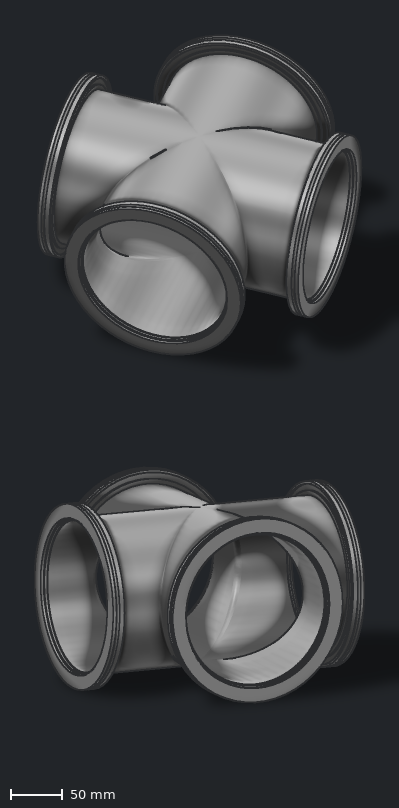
import cadquery as cq

overall_length = 266.5
port_end = overall_length / 2
port_count = 4
port_angles = [i * 360 / port_count for i in range(port_count)]

pipe_outer_diameter = 153.0
pipe_bore = 147.0
pipe_inset = 6.0
wall = (pipe_outer_diameter - pipe_bore) / 2
outer_seam_radius = 2.5
bore_seam_radius = outer_seam_radius + wall

flange_diameter = 180.2
flange_thickness = 12.0
flange_bore = 149.0
recess_diameter = 152.5
recess_depth = 3.2

rim_groove_start = 3.7
rim_groove_width = 3.2
rim_groove_depth = rim_groove_width / 2

relief_inner_diameter = 162.4
relief_outer_diameter = 175.0
relief_depth = 2.0


def cross_of_cylinders(diameter, length, seam_radius):
    """Two equal cylinders along X and Y, with the seams where they cross rounded."""
    along_x = cq.Workplane("YZ").circle(diameter / 2).extrude(length / 2, both=True)
    along_y = cq.Workplane("XZ").circle(diameter / 2).extrude(length / 2, both=True)
    cross = along_x.union(along_y)
    return cross.edges("%ELLIPSE").fillet(seam_radius)


def make_pipe_cross():
    pipe_length = overall_length - 2 * pipe_inset
    outside = cross_of_cylinders(pipe_outer_diameter, pipe_length, outer_seam_radius)
    bore = cross_of_cylinders(pipe_bore, pipe_length, bore_seam_radius)
    return outside.cut(bore)


def section_point(depth, diameter):
    """Point of the flange section at a depth behind the flange face."""
    return (port_end - depth, diameter / 2)


def make_flange():
    """Flange on the +X port, turned about X from half its cross-section."""
    groove_mid = rim_groove_start + rim_groove_width / 2
    groove_end = rim_groove_start + rim_groove_width
    groove_floor_diameter = flange_diameter - 2 * rim_groove_depth
    relief_floor = flange_thickness - relief_depth
    section = (
        cq.Workplane("XY")
        .moveTo(*section_point(0, recess_diameter))
        .lineTo(*section_point(0, flange_diameter))
        .lineTo(*section_point(rim_groove_start, flange_diameter))
        .threePointArc(
            section_point(groove_mid, groove_floor_diameter),
            section_point(groove_end, flange_diameter),
        )
        .lineTo(*section_point(flange_thickness, flange_diameter))
        .lineTo(*section_point(flange_thickness, relief_outer_diameter))
        .lineTo(*section_point(relief_floor, relief_outer_diameter))
        .lineTo(*section_point(relief_floor, relief_inner_diameter))
        .lineTo(*section_point(flange_thickness, relief_inner_diameter))
        .lineTo(*section_point(flange_thickness, pipe_outer_diameter))
        .lineTo(*section_point(pipe_inset, pipe_outer_diameter))
        .lineTo(*section_point(pipe_inset, flange_bore))
        .lineTo(*section_point(recess_depth, flange_bore))
        .lineTo(*section_point(recess_depth, recess_diameter))
        .close()
    )
    return section.revolve(360, (0, 0, 0), (1, 0, 0))


pipe_cross = make_pipe_cross()
flange = make_flange()
flanges = [flange.rotate((0, 0, 0), (0, 0, 1), angle) for angle in port_angles]

result = cq.Compound.makeCompound([pipe_cross.val(), *[item.val() for item in flanges]])